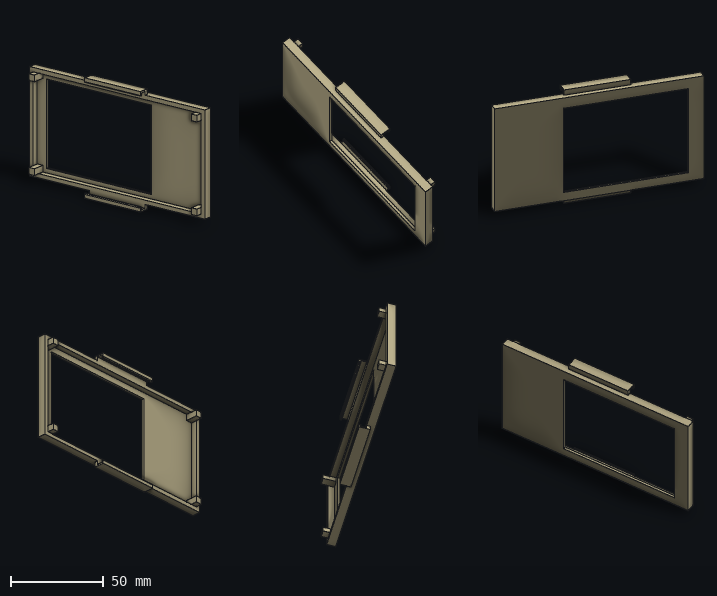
import cadquery as cq

frame_width = 119.38
frame_height = 62.23
frame_depth = 5.08
wall = 2.54
floor_thickness = 1.52

window_width = 71.12
window_height = 50.8
window_left_margin = 8.89
window_bottom_margin = 5.08

peg_size = 3.81
peg_projection = 3.81

overall_depth = 9.3
overall_height = 68.58
clip_width = 38.1
clip_leg_depth = 2.03
clip_thickness = 1.02
lip_thickness = 1.02
lip_height = 2.75
lip_chamfer = 0.51

clip_rise = (overall_height - frame_height) / 2
frame_front = -frame_depth
clip_front = -overall_depth


def block(x_range, y_range, z_range):
    """Box spanning the given (low, high) limits on each axis."""
    x_low, x_high = x_range
    y_low, y_high = y_range
    z_low, z_high = z_range
    size = (x_high - x_low, y_high - y_low, z_high - z_low)
    return cq.Workplane("XY").box(*size, centered=False).translate((x_low, y_low, z_low))


def make_tray():
    """Rectangular tray with a window cut through its floor."""
    half_width = frame_width / 2
    half_height = frame_height / 2
    outer = block((-half_width, half_width), (frame_front, 0), (-half_height, half_height))
    recess = block(
        (-half_width + wall, half_width - wall),
        (frame_front, -floor_thickness),
        (-half_height + wall, half_height - wall),
    )
    window_left = -half_width + window_left_margin
    window_bottom = -half_height + window_bottom_margin
    window = block(
        (window_left, window_left + window_width),
        (frame_front, 0),
        (window_bottom, window_bottom + window_height),
    )
    return outer.cut(recess).cut(window)


def make_pegs():
    """Four pegs rising from the floor corners past the front of the frame."""
    peg_x = frame_width / 2 - wall - peg_size / 2
    peg_z = frame_height / 2 - wall - peg_size / 2
    peg_length = frame_depth + peg_projection - floor_thickness
    peg_y = -floor_thickness - peg_length / 2
    pegs = cq.Workplane("XY")
    for side_x in (-1, 1):
        for side_z in (-1, 1):
            peg = cq.Workplane("XY").box(peg_size, peg_length, peg_size)
            pegs = pegs.add(peg.translate((side_x * peg_x, peg_y, side_z * peg_z)))
    return pegs.combine()


def make_top_clip():
    """Hook-shaped profile in the YZ plane, extruded along X."""
    base_z = frame_height / 2
    top_z = base_z + clip_rise
    clip_back = frame_front + clip_leg_depth
    lip_back = clip_front + lip_thickness
    lip_end_z = top_z - lip_height
    under_z = top_z - clip_thickness
    profile = [
        (clip_back, base_z),
        (clip_back, top_z),
        (clip_front, top_z),
        (clip_front, lip_end_z + lip_chamfer),
        (clip_front + lip_chamfer, lip_end_z),
        (lip_back, lip_end_z),
        (lip_back, under_z),
        (frame_front, under_z),
        (frame_front, base_z),
    ]
    return cq.Workplane("YZ").polyline(profile).close().extrude(clip_width / 2, both=True)


top_clip = make_top_clip()
bottom_clip = top_clip.mirror("XY")
result = make_tray().union(make_pegs()).union(top_clip).union(bottom_clip)